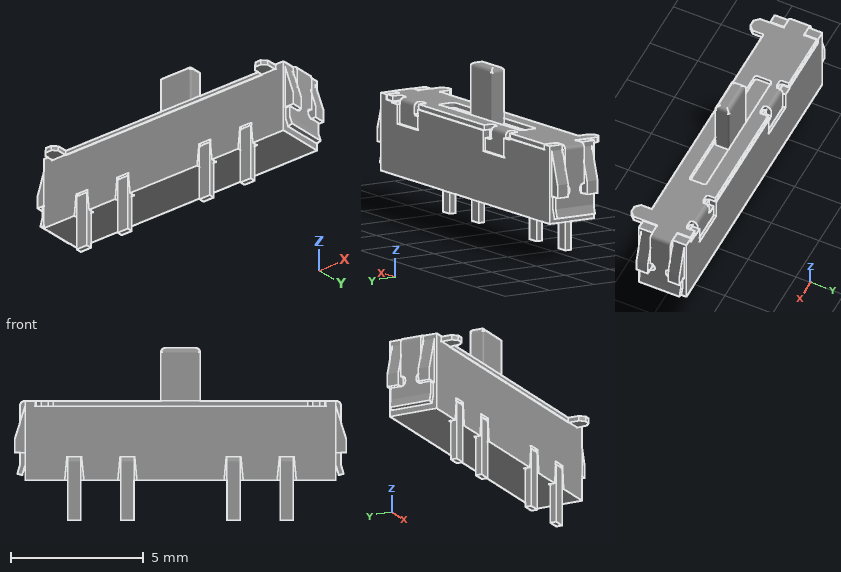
import cadquery as cq


SHEET = 0.2

BASE_LENGTH = 11.7
BASE_WIDTH = 2.0
COVER_TOP = 3.0
BASE_TOP = COVER_TOP - SHEET
BASE_END = BASE_LENGTH / 2
BASE_SIDE = BASE_WIDTH / 2

NECK_WIDTH = 0.85
POST_LENGTH = 0.38
HOOK_REACH = 0.4
HOOK_SIDE = 0.9
HOOK_BOTTOM = 1.05
HOOK_SHOULDER = 1.55

KNOB_LENGTH = 1.5
KNOB_WIDTH = 0.6
KNOB_TOP = COVER_TOP + 2.0
KNOB_TOP_RADIUS = 0.2
KNOB_EDGE_RADIUS = 0.08

PIN_OFFSETS = (-4.0, -2.0, 2.0, 4.0)
PIN_WIDTH = 0.5
PIN_THICKNESS = 0.25
PIN_BOTTOM = -1.5
PIN_BEND_RADIUS = 0.2
NOTCH_HEIGHT = 0.9
NOTCH_TOP_WIDTH = 0.55
NOTCH_BOTTOM_WIDTH = 0.72

COVER_SIDE = 0.96
POST_GAP = 0.04
PLATE_END = BASE_END - POST_LENGTH - POST_GAP
SLOT_LENGTH = 5.7
SLOT_WIDTH = 0.7
SLOT_CORNER_RADIUS = 0.1
TAB_WIDTH = 0.64
TAB_TIP = BASE_SIDE + 0.6
TAB_CHAMFER = 0.19

FOOT_WIDTH = 1.7
FOOT_BEND = 0.59
FOOT_TIP = 0.25
FOOT_FLARE = 0.1
RELIEF_RADIUS = 0.2

FLAPS = ((-2.15, 1), (4.18, -1))
FLAP_WIDTH = 1.0
FLAP_NOTCH_WIDTH = 0.4
FLAP_NOTCH_RADIUS = 0.1
FLAP_INNER = 0.7
FLAP_BOTTOM = 2.0
BARB_TOP = 2.5
BARB_SLOPE_LENGTH = 0.08
BARB_SLOPE_RISE = 0.05
WINDOW_WIDTH = FLAP_WIDTH + 2 * FLAP_NOTCH_WIDTH
FLAP_CLEARANCE = 0.04
LEDGE_DEPTH = 0.05


def block(x_range, y_range, z_range):
    """Axis-aligned box between the given pairs of limits."""
    (x0, x1), (y0, y1), (z0, z1) = (sorted(limits) for limits in (x_range, y_range, z_range))
    return cq.Workplane("XY").box(x1 - x0, y1 - y0, z1 - z0, centered=False).translate((x0, y0, z0))


def profile_along_y(points, y0, y1):
    """XZ outline extruded from y0 to y1."""
    return cq.Workplane("XZ", origin=(0, y1, 0)).polyline(points).close().extrude(y1 - y0)


def both_ends(shape):
    """The shape together with its mirror image at the other end of the switch."""
    return shape.union(shape.mirror("YZ"))


def corner_post(side):
    """Post that rises beside the cover neck to the cover's top face, at the +X end."""
    return block(
        (BASE_END - POST_LENGTH, BASE_END),
        (side * NECK_WIDTH / 2, side * BASE_SIDE),
        (BASE_TOP, COVER_TOP),
    )


def clip_hook(side):
    """Ramped hook on the +X end face."""
    ramp = [
        (BASE_END, BASE_TOP),
        (BASE_END + HOOK_REACH, HOOK_SHOULDER),
        (BASE_END + HOOK_REACH, HOOK_BOTTOM),
        (BASE_END, HOOK_BOTTOM),
    ]
    y0, y1 = sorted((side * NECK_WIDTH / 2, side * HOOK_SIDE))
    return profile_along_y(ramp, y0, y1)


def pin_notch(x):
    """Notch in the front face, open at the underside and narrowing upwards."""
    outline = [
        (x - NOTCH_BOTTOM_WIDTH / 2, 0),
        (x + NOTCH_BOTTOM_WIDTH / 2, 0),
        (x + NOTCH_TOP_WIDTH / 2, NOTCH_HEIGHT),
        (x - NOTCH_TOP_WIDTH / 2, NOTCH_HEIGHT),
    ]
    return profile_along_y(outline, -BASE_SIDE, -BASE_SIDE + PIN_THICKNESS)


def pin(x):
    """Terminal flush with the front face, its top rounded back into the base."""
    leg = block(
        (x - PIN_WIDTH / 2, x + PIN_WIDTH / 2),
        (-BASE_SIDE, -BASE_SIDE + PIN_THICKNESS),
        (PIN_BOTTOM, NOTCH_HEIGHT),
    )
    return leg.edges(">Z and <Y").fillet(PIN_BEND_RADIUS)


def knob():
    """Actuator with rounded top edges and lightly rounded upright edges."""
    height = KNOB_TOP - BASE_TOP
    base_plane = cq.Workplane("XY", origin=(0, 0, BASE_TOP))
    rounded_top = base_plane.rect(KNOB_LENGTH, KNOB_WIDTH).extrude(height)
    rounded_top = rounded_top.faces(">Z").edges().fillet(KNOB_TOP_RADIUS)
    rounded_sides = base_plane.rect(KNOB_LENGTH, KNOB_WIDTH).extrude(height)
    rounded_sides = rounded_sides.edges("|Z").fillet(KNOB_EDGE_RADIUS)
    return rounded_top.intersect(rounded_sides)


def flap_pocket(window_x, barb_side):
    """Pocket behind a flap and its barb, with a shallow ledge under the other notch."""
    window_barb_end = window_x + barb_side * WINDOW_WIDTH / 2
    window_plain_end = window_x - barb_side * WINDOW_WIDTH / 2
    pocket_plain_end = window_x - barb_side * (FLAP_WIDTH / 2 + FLAP_CLEARANCE)
    rear = (FLAP_INNER, BASE_SIDE)
    pocket = block((pocket_plain_end, window_barb_end), rear, (FLAP_BOTTOM, BASE_TOP))
    ledge = block((window_plain_end, pocket_plain_end), rear, (BASE_TOP - LEDGE_DEPTH, BASE_TOP))
    return pocket.union(ledge)


def make_base():
    """Moulded base with posts, hooks, pins and knob."""
    base = block((-BASE_END, BASE_END), (-BASE_SIDE, BASE_SIDE), (0, BASE_TOP))
    for side in (-1, 1):
        base = base.union(both_ends(corner_post(side))).union(both_ends(clip_hook(side)))
    for x in PIN_OFFSETS:
        base = base.cut(pin_notch(x)).union(pin(x))
    for window_x, barb_side in FLAPS:
        base = base.cut(flap_pocket(window_x, barb_side))
    return base.union(knob())


def mounting_tab():
    """Flat tab with a chamfered tip, reaching out past the front face at the +X end."""
    tab = block((PLATE_END - TAB_WIDTH, PLATE_END), (-TAB_TIP, -COVER_SIDE), (BASE_TOP, COVER_TOP))
    return tab.edges("|Z and <Y").chamfer(TAB_CHAMFER)


def end_strip():
    """Neck bent down over the +X end face, widening to a foot that flares outwards."""
    outer = BASE_END + SHEET
    flare_drop = FOOT_BEND - FOOT_TIP
    flare_length = (FOOT_FLARE ** 2 + flare_drop ** 2) ** 0.5
    flare_sin = FOOT_FLARE / flare_length
    flare_cos = flare_drop / flare_length
    inner_bend = FOOT_BEND - SHEET * (1 - flare_cos) / flare_sin
    section = (
        cq.Workplane("XZ", origin=(0, FOOT_WIDTH / 2, 0))
        .moveTo(PLATE_END, COVER_TOP)
        .lineTo(BASE_END, COVER_TOP)
        .radiusArc((outer, BASE_TOP), SHEET)
        .lineTo(outer, FOOT_BEND)
        .lineTo(outer + FOOT_FLARE, FOOT_TIP)
        .lineTo(outer + FOOT_FLARE - SHEET * flare_cos, FOOT_TIP - SHEET * flare_sin)
        .lineTo(BASE_END, inner_bend)
        .lineTo(BASE_END, BASE_TOP)
        .lineTo(PLATE_END, BASE_TOP)
        .close()
        .extrude(FOOT_WIDTH)
    )
    for side in (-1, 1):
        hook_opening = block(
            (PLATE_END, BASE_END + HOOK_REACH),
            (side * NECK_WIDTH / 2, side * FOOT_WIDTH / 2),
            (HOOK_BOTTOM, COVER_TOP),
        )
        relief = (
            cq.Workplane("YZ", origin=(BASE_END, 0, 0))
            .center(side * NECK_WIDTH / 2, HOOK_BOTTOM + RELIEF_RADIUS)
            .circle(RELIEF_RADIUS)
            .extrude(SHEET)
        )
        section = section.cut(hook_opening).cut(relief)
    return section


def flap(window_x, barb_side):
    """Flap bent down from the plate into the base, with a barb on one side."""
    outer = FLAP_INNER + SHEET
    bent = (
        cq.Workplane("YZ", origin=(window_x - FLAP_WIDTH / 2, 0, 0))
        .moveTo(FLAP_INNER, COVER_TOP)
        .radiusArc((outer, BASE_TOP), SHEET)
        .lineTo(outer, FLAP_BOTTOM)
        .lineTo(FLAP_INNER, FLAP_BOTTOM)
        .close()
        .extrude(FLAP_WIDTH)
    )
    root = window_x + barb_side * FLAP_WIDTH / 2
    tip = window_x + barb_side * WINDOW_WIDTH / 2
    barb_outline = [
        (root, BARB_TOP + BARB_SLOPE_RISE),
        (root + barb_side * BARB_SLOPE_LENGTH, BARB_TOP),
        (tip, BARB_TOP),
        (tip, FLAP_BOTTOM),
        (root, FLAP_BOTTOM),
    ]
    return bent.union(profile_along_y(barb_outline, FLAP_INNER, outer))


def flap_notch(x):
    """Notch with rounded corners beside a flap, open at the plate's rear edge."""
    notch = block(
        (x - FLAP_NOTCH_WIDTH / 2, x + FLAP_NOTCH_WIDTH / 2),
        (FLAP_INNER - FLAP_NOTCH_RADIUS, BASE_SIDE),
        (BASE_TOP, COVER_TOP),
    )
    return notch.edges("|Z and <Y").fillet(FLAP_NOTCH_RADIUS)


def make_cover():
    """Sheet-metal cover with knob slot, mounting tabs, clipped ends and rear flaps."""
    cover = block((-PLATE_END, PLATE_END), (-COVER_SIDE, COVER_SIDE), (BASE_TOP, COVER_TOP))
    cover = cover.union(both_ends(mounting_tab())).union(both_ends(end_strip()))
    slot = cq.Workplane("XY", origin=(0, 0, BASE_TOP)).rect(SLOT_LENGTH, SLOT_WIDTH).extrude(SHEET)
    cover = cover.cut(slot.edges("|Z").fillet(SLOT_CORNER_RADIUS))
    for window_x, barb_side in FLAPS:
        notch_offset = (FLAP_WIDTH + FLAP_NOTCH_WIDTH) / 2
        for side in (-1, 1):
            cover = cover.cut(flap_notch(window_x + side * notch_offset))
        flap_root = (window_x - FLAP_WIDTH / 2, window_x + FLAP_WIDTH / 2)
        cover = cover.cut(block(flap_root, (FLAP_INNER, BASE_SIDE), (BASE_TOP, COVER_TOP)))
        cover = cover.union(flap(window_x, barb_side))
    return cover


base = make_base()
cover = make_cover()

result = cq.Compound.makeCompound([base.solids().val(), cover.solids().val()])